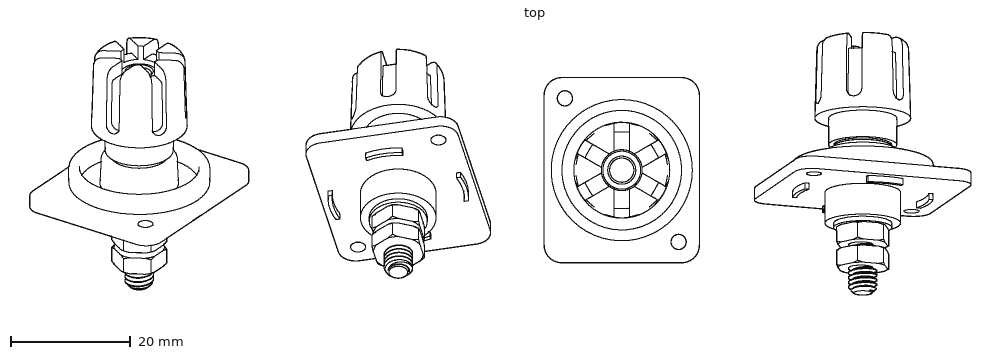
import cadquery as cq
import math


PLATE_X = 26.0
PLATE_Y = 31.0
PLATE_T = 2.2
PLATE_CORNER_R = 3.0
PLATE_EDGE_R = 0.25
MOUNT_HOLE_D = 2.5
MOUNT_HOLE_X = 9.5
MOUNT_HOLE_Y = 12.0

RING_OD = 23.6
RING_ID = 20.0
RING_TOP = 5.15
RING_FLOOR = 2.05
RING_OUTER_EDGE_R = 0.4
RING_INNER_EDGE_R = 0.25

RIB_OD = 23.5
RIB_ID = 22.1
RIB_LENGTH = 6.2
RIB_H = 1.05

COLLAR_BASE_D = 13.15
COLLAR_TOP_D = 12.7
COLLAR_TOP = 7.25
COLLAR_EDGE_R = 0.75
NECK_D = 9.53
NECK_LIP_D = 9.7
NECK_LIP_BASE = 7.95
BARREL_D = 11.4
BARREL_BASE = 8.2

KNOB_BASE = 12.77
KNOB_TOP = 26.0
KNOB_BASE_D = 16.05
KNOB_TOP_D = 15.3
KNOB_EDGE_R = 1.5
SLOT_COUNT = 6
SLOT_W = 2.6
SLOT_BOTTOM = 14.7
SLOT_FLOOR = 23.5
SLOT_FLOOR_EDGE_R = 0.45
SLOT_WALL_R_TOP = 6.1
SLOT_WALL_R_BOTTOM = 6.4
KNOB_BORE_D = 6.85
KNOB_BORE_FLOOR = KNOB_BASE

TUBE_OD = 6.35
TUBE_FACE_OD = 5.1
TUBE_FACE_ID = 4.7
TUBE_ID = 4.05
TUBE_TOP = 23.05
TUBE_BORE_FLOOR = BARREL_BASE

BODY_D = 12.65
BODY_BASE = -5.3
WASHER_D = 9.72
HEX_SIDES = 6
NUT_FLATS = 8.0
NUT_T = 3.0
NUT_FACE_D = 8.4
NUT_CHAMFER_ANGLE = 30.0
UPPER_NUT_TOP = -6.05
NUT_GAP = 1.0
LOWER_NUT_TOP = UPPER_NUT_TOP - NUT_T - NUT_GAP
STUD_MAJOR_D = 4.8
STUD_ROOT_D = 3.45
STUD_BOTTOM = KNOB_TOP - 43.31
STUD_CHAMFER = 0.95
THREAD_CLEARANCE = 0.2
THREAD_PITCH = 0.8
THREAD_OVERLAP = 0.1
THREAD_BASE_W = 0.78
THREAD_CREST_W = 0.1
THREAD_START = STUD_BOTTOM - 0.33


def cylinder(diameter, z_low, z_high):
    """Round bar on the post axis between two heights."""
    return cq.Workplane("XY").workplane(offset=z_low).circle(diameter / 2).extrude(z_high - z_low)


def make_plate():
    plate = cq.Workplane("XY").rect(PLATE_X, PLATE_Y).extrude(PLATE_T)
    plate = plate.edges("|Z").fillet(PLATE_CORNER_R)
    plate = plate.faces(">Z").edges().fillet(PLATE_EDGE_R)
    hole_centres = [(-MOUNT_HOLE_X, MOUNT_HOLE_Y), (MOUNT_HOLE_X, -MOUNT_HOLE_Y)]
    holes = cq.Workplane("XY").pushPoints(hole_centres).circle(MOUNT_HOLE_D / 2).extrude(PLATE_T)
    return plate.cut(holes)


def make_ring():
    ring = cylinder(RING_OD, RING_FLOOR, RING_TOP).faces(">Z").edges().fillet(RING_OUTER_EDGE_R)
    ring = ring.cut(cylinder(RING_ID, RING_FLOOR, RING_TOP))
    inner_rim = cq.selectors.RadiusNthSelector(0)
    ring = ring.faces(">Z").edges(inner_rim).fillet(RING_INNER_EDGE_R)
    return ring


def make_ribs():
    """Four short arc ribs, one on each side of the post."""
    band = cylinder(RIB_OD, -RIB_H, 0).cut(cylinder(RIB_ID, -RIB_H, 0))
    bar_x = cq.Workplane("XY").rect(RIB_OD, RIB_LENGTH).extrude(-RIB_H)
    bar_y = cq.Workplane("XY").rect(RIB_LENGTH, RIB_OD).extrude(-RIB_H)
    return band.intersect(bar_x.union(bar_y))


def make_collar():
    height = COLLAR_TOP - RING_FLOOR
    collar = cq.Solid.makeCone(COLLAR_BASE_D / 2, COLLAR_TOP_D / 2, height, cq.Vector(0, 0, RING_FLOOR))
    return cq.Workplane(collar).faces(">Z").edges().fillet(COLLAR_EDGE_R)


def slot_cutter():
    """One knob slot on +X: sloping back wall, round lower end, open toward the axis above the slot floor."""
    reach = KNOB_BASE_D / 2 + 1
    clear_top = KNOB_TOP + 1
    wall_edge_z = SLOT_FLOOR - SLOT_FLOOR_EDGE_R
    side = (
        cq.Workplane("XZ")
        .moveTo(0, SLOT_FLOOR)
        .lineTo(SLOT_WALL_R_TOP - SLOT_FLOOR_EDGE_R, SLOT_FLOOR)
        .radiusArc((SLOT_WALL_R_TOP, wall_edge_z), SLOT_FLOOR_EDGE_R)
        .lineTo(SLOT_WALL_R_BOTTOM, SLOT_BOTTOM)
        .lineTo(reach, SLOT_BOTTOM)
        .lineTo(reach, clear_top)
        .lineTo(0, clear_top)
        .close()
        .extrude(SLOT_W / 2, both=True)
    )
    half_w = SLOT_W / 2
    outline = (
        cq.Workplane("YZ")
        .moveTo(-half_w, clear_top)
        .lineTo(-half_w, SLOT_BOTTOM + half_w)
        .threePointArc((0, SLOT_BOTTOM), (half_w, SLOT_BOTTOM + half_w))
        .lineTo(half_w, clear_top)
        .close()
        .extrude(reach)
    )
    return side.intersect(outline)


def make_knob():
    height = KNOB_TOP - KNOB_BASE
    knob = cq.Solid.makeCone(KNOB_BASE_D / 2, KNOB_TOP_D / 2, height, cq.Vector(0, 0, KNOB_BASE))
    knob = cq.Workplane(knob).faces(">Z").edges().fillet(KNOB_EDGE_R)
    knob = knob.cut(cylinder(KNOB_BORE_D, KNOB_BORE_FLOOR, KNOB_TOP))
    first_slot_angle = 90
    for index in range(SLOT_COUNT):
        angle = first_slot_angle + index * 360 / SLOT_COUNT
        knob = knob.cut(slot_cutter().rotate((0, 0, 0), (0, 0, 1), angle))
    return knob


def make_tube():
    tube = cylinder(TUBE_OD, BARREL_BASE, TUBE_TOP)
    return tube.faces(">Z").edges().fillet((TUBE_OD - TUBE_FACE_OD) / 2)


def tube_bore():
    """Socket bore with a 45 degree mouth and a trough-shaped floor running along Y."""
    trough_z = TUBE_BORE_FLOOR + TUBE_ID / 2
    bore = cylinder(TUBE_ID, trough_z, TUBE_TOP)
    trough = cq.Workplane("XZ").center(0, trough_z).circle(TUBE_ID / 2).extrude(TUBE_ID, both=True)
    floor = cylinder(TUBE_ID, TUBE_BORE_FLOOR, trough_z).intersect(trough)
    mouth_depth = (TUBE_FACE_ID - TUBE_ID) / 2
    mouth_base = cq.Vector(0, 0, TUBE_TOP - mouth_depth)
    mouth = cq.Solid.makeCone(TUBE_ID / 2, TUBE_FACE_ID / 2, mouth_depth, mouth_base)
    return bore.union(floor).union(cq.Workplane(mouth))


def make_nut(z_top):
    """Hex nut with two corners on the Y axis and both faces chamfered."""
    z_low = z_top - NUT_T
    corner_d = NUT_FLATS / math.cos(math.pi / HEX_SIDES)
    hexagon = cq.Workplane("XY").workplane(offset=z_low).transformed(rotate=(0, 0, 90))
    nut = hexagon.polygon(HEX_SIDES, corner_d).extrude(NUT_T)
    drop = (corner_d - NUT_FACE_D) / 2 * math.tan(math.radians(NUT_CHAMFER_ANGLE))
    envelope = (
        cq.Workplane("XZ")
        .moveTo(0, z_low)
        .lineTo(NUT_FACE_D / 2, z_low)
        .lineTo(corner_d / 2, z_low + drop)
        .lineTo(corner_d / 2, z_top - drop)
        .lineTo(NUT_FACE_D / 2, z_top)
        .lineTo(0, z_top)
        .close()
        .revolve(360, (0, 0, 0), (0, 1, 0))
    )
    return nut.intersect(envelope)


def make_stud():
    """Stud with one helical ridge, starting hidden in the upper nut and trimmed by the end chamfer."""
    core = cylinder(STUD_ROOT_D, STUD_BOTTOM - THREAD_PITCH, UPPER_NUT_TOP)
    ridge_top = UPPER_NUT_TOP - NUT_T / 2
    root_r = STUD_ROOT_D / 2 - THREAD_OVERLAP
    crest_r = STUD_MAJOR_D / 2
    path = cq.Wire.makeHelix(THREAD_PITCH, ridge_top - THREAD_START, root_r)
    profile = (
        cq.Workplane("XZ")
        .moveTo(root_r, -THREAD_BASE_W / 2)
        .lineTo(crest_r, -THREAD_CREST_W / 2)
        .lineTo(crest_r, THREAD_CREST_W / 2)
        .lineTo(root_r, THREAD_BASE_W / 2)
        .close()
    )
    ridge = profile.sweep(cq.Workplane(path), isFrenet=True).translate((0, 0, THREAD_START))
    envelope = cylinder(STUD_MAJOR_D + THREAD_CLEARANCE, STUD_BOTTOM, UPPER_NUT_TOP)
    envelope = envelope.faces("<Z").edges().chamfer(STUD_CHAMFER)
    return core.union(ridge).intersect(envelope)


result = make_plate().cut(cylinder(RING_ID, RING_FLOOR, PLATE_T))
result = result.union(make_ring()).union(make_ribs()).union(make_collar())
result = result.union(cylinder(NECK_D, COLLAR_TOP, NECK_LIP_BASE))
result = result.union(cylinder(NECK_LIP_D, NECK_LIP_BASE, BARREL_BASE))
result = result.union(cylinder(BARREL_D, BARREL_BASE, KNOB_BASE))
result = result.union(make_knob()).union(make_tube()).cut(tube_bore())
result = result.union(cylinder(BODY_D, BODY_BASE, 0))
result = result.union(cylinder(WASHER_D, UPPER_NUT_TOP, BODY_BASE))
result = result.union(make_stud())
result = result.union(make_nut(UPPER_NUT_TOP)).union(make_nut(LOWER_NUT_TOP))